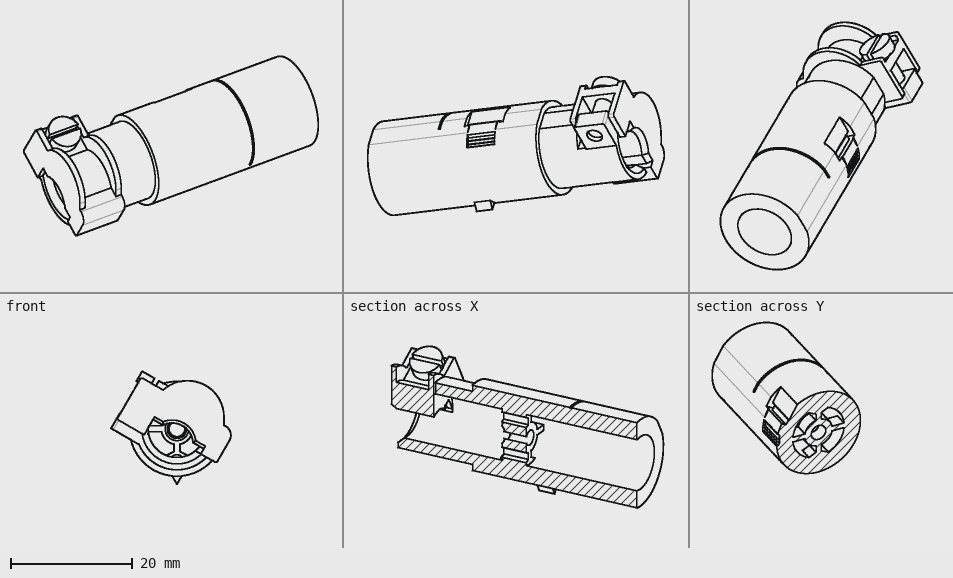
import cadquery as cq
import math

CLAMP_ANGLE = 30.0
TOTAL_LENGTH = 46.25
OVERLAP = 0.1

BARREL_RADIUS = 7.8
BARREL_FLAT = 7.65
BARREL_START = 15.25
NECK_RADIUS = 6.75
NECK_FLAT = 6.5
NECK_START = 1.25
BORE_RADIUS = 4.7
MOUTH_RADIUS = 5.8
MOUTH_DEPTH = 1.15

SHELL_END = 8.3
SHELL_LEFT = -4.25
SHELL_LEFT_TOP = -3.15
SHELL_RIGHT_TOP = -1.6

GROOVE_Y = 33.6
GROOVE_WIDTH = 0.25
GROOVE_DEPTH = 0.15

SPIDER_START = 20.8
SPIDER_LENGTH = 4.62
HUB_RADIUS = 2.6
HUB_HOLE_RADIUS = 1.3
HUB_MOUTH_RADIUS = 1.95
HUB_SEAT_RADIUS = 1.55
SPOKE_WIDTH = 1.0
SPOKE_FLARE = 1.4
STUD_RADIUS = 1.1
STUD_CENTRE = 5.35
STUD_HEIGHT = 0.45

KEY_START = 27.2
KEY_LENGTH = 2.9
KEY_TIP = 9.15
KEY_HALF_WIDTH = 0.8

LATCH_START = 21.9
LATCH_LENGTH = 7.08
LATCH_FLOOR = 6.8
LATCH_BOTTOM = -0.1
LATCH_SLOT_TOP = 0.85
LATCH_SLOT_FLOOR = 5.65
TONGUE_LENGTH = 5.1
TONGUE_OUTSIDE = 6.95
GRIP_TOP = 2.15
GRIP_UNDERCUT = 0.65
GRIP_BOTTOM = -0.3
GRIP_DEPTH = 0.65
GRIP_TEETH = 3

SADDLE_LENGTH = 8.0
FLANGE_THICKNESS = 1.0
SADDLE_LEFT = -9.35
SADDLE_RIGHT = 8.45
SADDLE_MIDDLE = 0.55
SHOULDER_TOP = 4.4
LEG_BOTTOM = -3.55
LEG_INSIDE = -4.15
LUG_INSIDE = 5.45
LUG_BOTTOM = -1.6
DOME_RADIUS = 6.0
DOME_CENTRE_Z = 2.55
NOTCH_TOP = -0.15
NOTCH_RADIUS = 3.95
NOTCH_CENTRE_Z = -2.55
NOTCH_TAPER = 0.5
WEB_TOP = 3.4
WEB_BOTTOM = 1.55
ARCH_LEFT = -3.3
ARCH_MIDDLE = 1.15
ARCH_RIGHT = 4.7
ARCH_TOP = 5.8
LUG_TOP_ROUND = 1.7
LUG_BOTTOM_ROUND = 0.32
LEG_ROUND = 0.35

EAR_LENGTH = 5.55
EAR_LEFT = -9.45
EAR_RIGHT = -3.7
EAR_TOP = -2.45
EAR_BOTTOM = -5.35
EAR_ROUND = 0.35
SCREW_X = -6.95
SCREW_RADIUS = 1.5
HEAD_RADIUS = 2.78
HEAD_TOP = 5.35
SCREW_SLOT_WIDTH = 0.8
SCREW_SLOT_FLOOR = 3.95
TIP_HOLE_RADIUS = 1.3
TIP_HOLE_DEPTH = 0.85


def disc(radius, start, end):
    """Cylinder about Y between two y positions."""
    return cq.Workplane("XZ", origin=(0, start, 0)).circle(radius).extrude(start - end)


def box(x_range, y_range, z_range):
    """Block between pairs of coordinates."""
    size = [high - low for low, high in (x_range, y_range, z_range)]
    corner = (x_range[0], y_range[0], z_range[0])
    return cq.Workplane("XY").box(*size, centered=False).translate(corner)


def about_axis(shape, degrees):
    """Turn a shape about the body axis; positive turns +Z toward +X."""
    return shape.rotate((0, 0, 0), (0, 1, 0), degrees)


def stage(radius, flat, start, end):
    """Length of round body with a flat on the -X side."""
    blank = box((-flat, radius), (start, end), (-radius, radius))
    return disc(radius, start, end).intersect(blank)


def neck_opening():
    """Space cleared from the neck so that only a half shell stays below the clamp."""
    reach = 2 * NECK_RADIUS
    outline = (
        cq.Workplane("XZ")
        .moveTo(-reach, -reach)
        .lineTo(SHELL_LEFT, -reach)
        .lineTo(SHELL_LEFT, SHELL_LEFT_TOP)
        .lineTo(0, SHELL_LEFT_TOP)
        .lineTo(0, SHELL_RIGHT_TOP)
        .lineTo(reach, SHELL_RIGHT_TOP)
        .lineTo(reach, reach)
        .lineTo(-reach, reach)
        .close()
    )
    return outline.extrude(-SHELL_END)


def bore():
    """Through bore, flared at the clamp end."""
    mouth_end = NECK_START + MOUTH_DEPTH
    profile = [
        (0, NECK_START),
        (MOUTH_RADIUS, NECK_START),
        (BORE_RADIUS, mouth_end),
        (BORE_RADIUS, TOTAL_LENGTH),
        (0, TOTAL_LENGTH),
    ]
    return cq.Workplane("XY").polyline(profile).close().revolve(360, (0, 0, 0), (0, 1, 0))


def joint_groove():
    """Thin groove over the upper half of the barrel."""
    end = GROOVE_Y + GROOVE_WIDTH
    reach = 2 * BARREL_RADIUS
    ring = disc(reach, GROOVE_Y, end)
    ring = ring.cut(stage(BARREL_RADIUS - GROOVE_DEPTH, BARREL_FLAT - GROOVE_DEPTH, GROOVE_Y, end))
    return ring.intersect(box((-reach, reach), (GROOVE_Y, end), (0, reach)))


def spider():
    """Countersunk hub on four spokes; the upright pair flares out and carries the lower stud."""
    end = SPIDER_START + SPIDER_LENGTH
    rim = BORE_RADIUS + OVERLAP
    half = SPOKE_WIDTH / 2
    flare = half + SPOKE_FLARE
    flare_end = math.sqrt(rim**2 - flare**2)
    flare_start = flare_end - SPOKE_FLARE / 2
    blade = (
        cq.Workplane("XZ", origin=(0, SPIDER_START, 0))
        .moveTo(-half, 0)
        .lineTo(half, 0)
        .lineTo(half, -flare_start)
        .lineTo(flare, -flare_end)
        .threePointArc((0, -rim), (-flare, -flare_end))
        .lineTo(-half, -flare_start)
        .close()
        .extrude(-SPIDER_LENGTH)
    )
    side_spokes = box((-rim, rim), (SPIDER_START, end), (-half, half))
    stud = disc(STUD_RADIUS, SPIDER_START - STUD_HEIGHT, end).translate((0, 0, -STUD_CENTRE))
    shape = disc(HUB_RADIUS, SPIDER_START, end).union(side_spokes)
    shape = shape.union(blade).union(about_axis(blade, 180)).union(stud)
    seat_y = SPIDER_START + HUB_MOUTH_RADIUS - HUB_SEAT_RADIUS
    hole_profile = [
        (0, SPIDER_START),
        (HUB_MOUTH_RADIUS, SPIDER_START),
        (HUB_SEAT_RADIUS, seat_y),
        (HUB_HOLE_RADIUS, seat_y),
        (HUB_HOLE_RADIUS, end),
        (0, end),
    ]
    hole = cq.Workplane("XY").polyline(hole_profile).close().revolve(360, (0, 0, 0), (0, 1, 0))
    return about_axis(shape.cut(hole), -CLAMP_ANGLE)


def key():
    """Triangular key pointing straight down once the part is turned."""
    root = math.sqrt(BARREL_RADIUS**2 - KEY_HALF_WIDTH**2)
    inside = root - OVERLAP
    points = [
        (-KEY_HALF_WIDTH, -inside),
        (-KEY_HALF_WIDTH, -root),
        (0, -KEY_TIP),
        (KEY_HALF_WIDTH, -root),
        (KEY_HALF_WIDTH, -inside),
    ]
    prism = cq.Workplane("XZ", origin=(0, KEY_START, 0)).polyline(points).close().extrude(-KEY_LENGTH)
    return about_axis(prism, -CLAMP_ANGLE)


def add_latch(body):
    """Latch window with a slot under its lower edge, a raised tongue and a finger grip."""
    end = LATCH_START + LATCH_LENGTH
    tongue_start = LATCH_START + (LATCH_LENGTH - TONGUE_LENGTH) / 2
    tongue_end = tongue_start + TONGUE_LENGTH
    tongue_range = (tongue_start, tongue_end)
    outside = -BARREL_RADIUS
    window = box((2 * outside, -LATCH_FLOOR), (LATCH_START, end), (LATCH_BOTTOM, BARREL_RADIUS))
    slot = box((outside, -LATCH_SLOT_FLOOR), (LATCH_START, end), (LATCH_BOTTOM, LATCH_SLOT_TOP))
    tongue_root = box((-TONGUE_OUTSIDE, -LATCH_SLOT_FLOOR), tongue_range, (LATCH_BOTTOM, LATCH_SLOT_TOP))
    flat_half = math.sqrt(BARREL_RADIUS**2 - BARREL_FLAT**2)
    tongue_band = box((outside, -LATCH_FLOOR), tongue_range, (-flat_half, LATCH_BOTTOM))
    tongue = disc(BARREL_RADIUS, tongue_start, tongue_end).intersect(tongue_band)
    body = body.cut(window.union(slot).cut(tongue_root)).union(tongue)

    teeth_top = GRIP_TOP - GRIP_UNDERCUT
    grip_step = (teeth_top - GRIP_BOTTOM) / GRIP_TEETH
    inside = outside + GRIP_DEPTH
    teeth = [(2 * outside, GRIP_TOP), (outside, GRIP_TOP)]
    for tooth in range(GRIP_TEETH):
        top = teeth_top - tooth * grip_step
        teeth.append((inside, top))
        teeth.append((inside - GRIP_DEPTH / 2, top - grip_step))
    teeth.append((2 * outside, GRIP_BOTTOM))
    grip = cq.Workplane("XZ", origin=(0, tongue_start, 0)).polyline(teeth).close().extrude(-TONGUE_LENGTH)
    return body.cut(about_axis(grip, -CLAMP_ANGLE))


def flange(start):
    """Plate with the saddle's outline: dome, screw leg and lug."""
    tangent = math.radians(CLAMP_ANGLE)
    reach = DOME_RADIUS * math.cos(tangent)
    tangent_z = DOME_CENTRE_Z + DOME_RADIUS * math.sin(tangent)
    shoulder = reach + (tangent_z - SHOULDER_TOP) * math.tan(tangent)
    dome_half = math.sqrt(DOME_RADIUS**2 - (SHOULDER_TOP - DOME_CENTRE_Z) ** 2)
    dome_top = (SADDLE_MIDDLE, DOME_CENTRE_Z + DOME_RADIUS)
    dome_left = (SADDLE_MIDDLE - dome_half, SHOULDER_TOP)
    return (
        cq.Workplane("XZ", origin=(0, start, 0))
        .moveTo(SADDLE_LEFT, LEG_BOTTOM)
        .lineTo(LEG_INSIDE, LEG_BOTTOM)
        .lineTo(LEG_INSIDE, LUG_BOTTOM)
        .lineTo(SADDLE_RIGHT, LUG_BOTTOM)
        .lineTo(SADDLE_RIGHT, SHOULDER_TOP)
        .lineTo(SADDLE_MIDDLE + shoulder, SHOULDER_TOP)
        .lineTo(SADDLE_MIDDLE + reach, tangent_z)
        .threePointArc(dome_top, dome_left)
        .lineTo(SADDLE_LEFT, SHOULDER_TOP)
        .close()
        .extrude(-FLANGE_THICKNESS)
    )


def notch_arch(inset):
    """Flat level, radius and half width of the notch arch for a given inset."""
    top = NOTCH_TOP - inset
    radius = NOTCH_RADIUS - inset
    half = math.sqrt(radius**2 - (top - NOTCH_CENTRE_Z) ** 2)
    return top, radius, half


def notch(start, inset):
    """Wire of the cable notch, its top lowered and its arch shrunk by the inset."""
    top, radius, half = notch_arch(inset)
    return (
        cq.Workplane("XZ", origin=(0, start, 0))
        .moveTo(LEG_INSIDE, LEG_BOTTOM)
        .lineTo(LEG_INSIDE, top)
        .lineTo(SADDLE_MIDDLE - half, top)
        .threePointArc((SADDLE_MIDDLE, NOTCH_CENTRE_Z + radius), (SADDLE_MIDDLE + half, top))
        .lineTo(LUG_INSIDE, top)
        .lineTo(LUG_INSIDE, LEG_BOTTOM)
        .close()
    )


def web():
    """Bridge between the flanges: a flat under the screw head and an arch over the cable."""
    top, radius, half = notch_arch(NOTCH_TAPER)
    return (
        cq.Workplane("XZ")
        .moveTo(SADDLE_LEFT, WEB_BOTTOM)
        .lineTo(SADDLE_MIDDLE - half, WEB_BOTTOM)
        .lineTo(SADDLE_MIDDLE - half, top)
        .threePointArc((SADDLE_MIDDLE, NOTCH_CENTRE_Z + radius), (SADDLE_MIDDLE + half, top))
        .lineTo(LUG_INSIDE, top)
        .lineTo(LUG_INSIDE, LUG_BOTTOM)
        .lineTo(SADDLE_RIGHT, LUG_BOTTOM)
        .lineTo(SADDLE_RIGHT, SHOULDER_TOP)
        .lineTo(ARCH_RIGHT, SHOULDER_TOP)
        .threePointArc((ARCH_MIDDLE, ARCH_TOP), (ARCH_LEFT, WEB_TOP))
        .lineTo(SADDLE_LEFT, WEB_TOP)
        .close()
        .extrude(-SADDLE_LENGTH)
    )


def saddle():
    """Flanges and web, rounded at the corners and notched for the cable; the front notch tapers inward."""
    rear = SADDLE_LENGTH - FLANGE_THICKNESS
    wires = [notch(0, 0).val(), notch(FLANGE_THICKNESS, NOTCH_TAPER).val()]
    front_notch = cq.Workplane(cq.Solid.makeLoft(wires, True))
    rear_notch = notch(rear, NOTCH_TAPER).extrude(-FLANGE_THICKNESS)
    shape = flange(0).union(flange(rear)).union(web())
    shape = shape.edges("|Y").edges(">X").edges(">Z").fillet(LUG_TOP_ROUND)
    shape = shape.edges("|Y").edges(">X").edges("<Z").fillet(LUG_BOTTOM_ROUND)
    shape = shape.edges("|Y").edges("<X").edges(">Z or <Z").fillet(LEG_ROUND)
    return shape.cut(front_notch).cut(rear_notch)


def ear():
    """Lug of the half shell that takes the screw thread."""
    block = box((EAR_LEFT, EAR_RIGHT), (NECK_START, NECK_START + EAR_LENGTH), (EAR_BOTTOM, EAR_TOP))
    return block.edges("|Z and <X").fillet(EAR_ROUND)


def upright(radius, bottom, top):
    """Cylinder along the screw axis."""
    screw_y = NECK_START + EAR_LENGTH / 2
    return cq.Workplane("XY", origin=(SCREW_X, screw_y, bottom)).circle(radius).extrude(top - bottom)


def screw():
    """Slotted screw reaching from its head into the ear."""
    shape = upright(SCREW_RADIUS, EAR_BOTTOM + TIP_HOLE_DEPTH, WEB_TOP)
    shape = shape.union(upright(HEAD_RADIUS, WEB_TOP, HEAD_TOP))
    half = SCREW_SLOT_WIDTH / 2
    slot = box((SCREW_X - half, SCREW_X + half), (0, SADDLE_LENGTH), (SCREW_SLOT_FLOOR, HEAD_TOP))
    return shape.cut(slot)


body = stage(BARREL_RADIUS, BARREL_FLAT, BARREL_START, TOTAL_LENGTH)
body = body.union(stage(NECK_RADIUS, NECK_FLAT, NECK_START, BARREL_START))
body = body.cut(neck_opening()).union(ear()).cut(bore())
body = add_latch(body.cut(joint_groove()))
body = body.cut(upright(TIP_HOLE_RADIUS, EAR_BOTTOM, EAR_BOTTOM + TIP_HOLE_DEPTH))
body = body.union(spider()).union(key())
body = body.union(saddle()).union(screw())
result = about_axis(body, CLAMP_ANGLE)